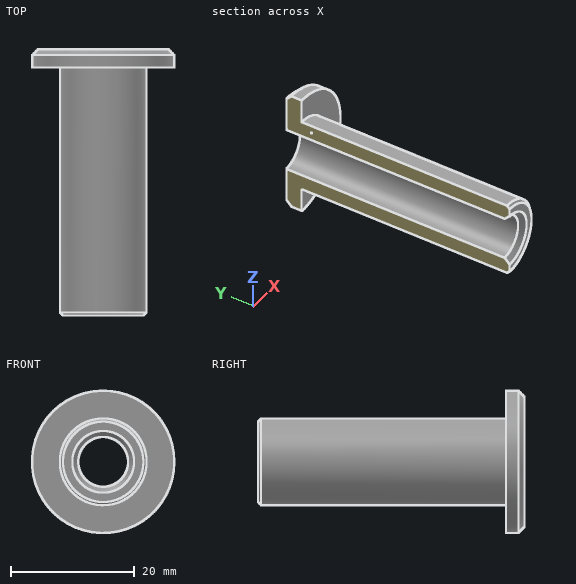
import cadquery as cq

total_length = 43.0
head_diameter = 23.0
head_thickness = 3.0
head_chamfer = 1.0
shank_diameter = 14.0
shank_chamfer = 0.5
bore_diameter = 8.0
bore_chamfer = 1.0

shank_length = total_length - head_thickness


def cylinder_along_y(diameter, start_y, length):
    """Solid cylinder on the Y axis, running toward +Y from start_y."""
    plane = cq.Plane(origin=(0, start_y, 0), xDir=(1, 0, 0), normal=(0, 1, 0))
    return cq.Workplane(plane).circle(diameter / 2).extrude(length)


head = cylinder_along_y(head_diameter, shank_length, head_thickness)
head = head.faces(">Y").edges().chamfer(head_chamfer)

shank = cylinder_along_y(shank_diameter, 0, shank_length)
shank = shank.faces("<Y").edges().chamfer(shank_chamfer)

bore = cylinder_along_y(bore_diameter, 0, total_length)
sleeve = head.union(shank).cut(bore)
bore_mouth = cq.selectors.RadiusNthSelector(0)
result = sleeve.faces("<Y").edges(bore_mouth).chamfer(bore_chamfer)